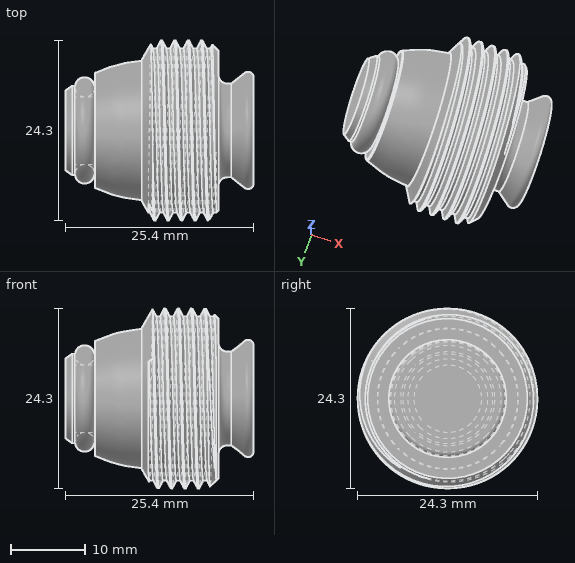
import cadquery as cq
import math

length = 25.45

ring_outer_radius = 7.2
ring_section_radius = 1.32
groove_start = 1.27
groove_end = 3.95
groove_middle = (groove_start + groove_end) / 2
ring_middle_radius = ring_outer_radius - ring_section_radius
groove_floor_radius = ring_middle_radius - ring_section_radius

nose_radius = 6.05
nose_face_radius = 5.4
nose_chamfer_length = 0.92

dome_front_radius = 7.82
dome_edge_chamfer = 0.13
dome_middle = (7.13, 8.9)
dome_rear_radius = 9.45

collar_start = 10.3
collar_end = 20.72
collar_front_radius = 9.55
front_cone_angle = 60.0
rear_cone_angle = 43.5
collar_rear_radius = 10.8

crest_radius = 12.17
root_radius = 11.13
pitch = 1.813
crest_width = 0.2
flank_angle = 27.5
thread_turns = 5.35
thread_start = 11.05
thread_start_angle = 153.5
cutter_overshoot = 0.1

neck_radius = 6.36
neck_fillet = 1.12
neck_end = 22.43
lip_radius = 7.95
lip_round = 0.76


def arc_middle(center, radius, degrees):
    """Point on a circle, used as the middle point of an arc."""
    angle = math.radians(degrees)
    return (center[0] + radius * math.cos(angle), center[1] + radius * math.sin(angle))


def make_plug_blank():
    """Revolved plug with a plain collar at the thread crest radius."""
    front_cone_length = (crest_radius - collar_front_radius) / math.tan(math.radians(front_cone_angle))
    rear_cone_length = (crest_radius - collar_rear_radius) / math.tan(math.radians(rear_cone_angle))

    fillet_center = (collar_end + neck_fillet, neck_radius + neck_fillet)
    lip_center = (length - lip_round, lip_radius - lip_round)
    run = lip_center[0] - neck_end
    rise = lip_center[1] - neck_radius
    flare_angle = math.degrees(math.atan2(rise, run) + math.asin(lip_round / math.hypot(run, rise)))
    lip_start_angle = 90 + flare_angle

    profile = (
        cq.Workplane("XY")
        .moveTo(0, 0)
        .lineTo(0, nose_face_radius)
        .lineTo(nose_chamfer_length, nose_radius)
        .lineTo(groove_start, nose_radius)
        .lineTo(groove_start, groove_floor_radius)
        .lineTo(groove_end, groove_floor_radius)
        .lineTo(groove_end, dome_front_radius - dome_edge_chamfer)
        .lineTo(groove_end + dome_edge_chamfer, dome_front_radius)
        .threePointArc(dome_middle, (collar_start, dome_rear_radius))
        .lineTo(collar_start, collar_front_radius)
        .lineTo(collar_start + front_cone_length, crest_radius)
        .lineTo(collar_end - rear_cone_length, crest_radius)
        .lineTo(collar_end, collar_rear_radius)
        .lineTo(collar_end, fillet_center[1])
        .threePointArc(arc_middle(fillet_center, neck_fillet, 225), (fillet_center[0], neck_radius))
        .lineTo(neck_end, neck_radius)
        .lineTo(*arc_middle(lip_center, lip_round, lip_start_angle))
        .threePointArc(arc_middle(lip_center, lip_round, lip_start_angle / 2), (length, lip_center[1]))
        .lineTo(length, 0)
        .close()
    )
    return profile.revolve(360, (0, 0, 0), (1, 0, 0))


def make_thread_cutter():
    """Helical groove swept along Z, then laid along X and turned to its start angle."""
    flank_slope = math.tan(math.radians(flank_angle))
    root_half_width = (pitch - crest_width) / 2 - (crest_radius - root_radius) * flank_slope
    outer_radius = crest_radius + cutter_overshoot
    outer_half_width = root_half_width + (outer_radius - root_radius) * flank_slope

    helix = cq.Wire.makeHelix(pitch, thread_turns * pitch, root_radius)
    cutter = (
        cq.Workplane("XZ")
        .polyline([
            (root_radius, -root_half_width),
            (outer_radius, -outer_half_width),
            (outer_radius, outer_half_width),
            (root_radius, root_half_width),
        ])
        .close()
        .sweep(cq.Workplane(helix), isFrenet=True)
    )
    return (
        cutter
        .rotate((0, 0, 0), (0, 1, 0), 90)
        .rotate((0, 0, 0), (1, 0, 0), thread_start_angle + 90)
        .translate((thread_start, 0, 0))
    )


def make_plug():
    return make_plug_blank().cut(make_thread_cutter())


def make_sealing_ring():
    """Round-section ring resting on the floor of its groove."""
    section = cq.Workplane("XY").center(groove_middle, ring_middle_radius).circle(ring_section_radius)
    return section.revolve(360, (0, -ring_middle_radius, 0), (1, -ring_middle_radius, 0))


plug = make_plug()
sealing_ring = make_sealing_ring()

result = cq.Compound.makeCompound([plug.val(), sealing_ring.val()])